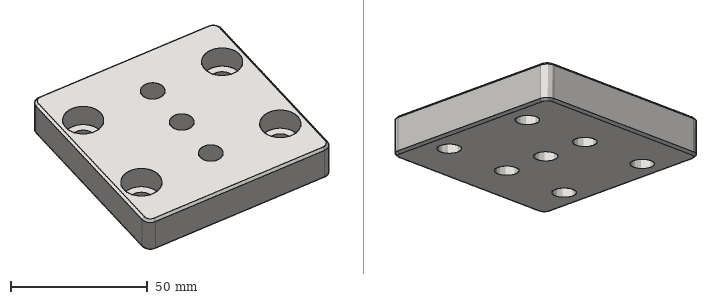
import cadquery as cq

side = 80.0
thickness = 15.0
corner_radius = 3.5
edge_chamfer = 1.0

hole_diameter = 9.0
counterbore_diameter = 15.0
counterbore_depth = 9.0
column_offset = side / 4
bolt_row_offset = 30.0

bolt_centers = [
    (x, y)
    for x in (-column_offset, column_offset)
    for y in (-bolt_row_offset, bolt_row_offset)
]
middle_centers = [(x, 0) for x in (-column_offset, 0, column_offset)]


def make_plate():
    """Square plate with rounded corners and chamfered top and bottom rims."""
    plate = cq.Workplane("XY").box(side, side, thickness, centered=(True, True, False))
    plate = plate.edges("|Z").fillet(corner_radius)
    return plate.faces("<Z or >Z").edges().chamfer(edge_chamfer)


def add_counterbored_holes(plate):
    """Four bolt holes, counterbored from the top face."""
    top = plate.faces(">Z").workplane(origin=(0, 0, thickness))
    return top.pushPoints(bolt_centers).cboreHole(
        hole_diameter, counterbore_diameter, counterbore_depth
    )


def add_middle_holes(plate):
    """Row of plain through holes along the X centerline."""
    top = plate.faces(">Z").workplane(origin=(0, 0, thickness))
    return top.pushPoints(middle_centers).hole(hole_diameter)


result = add_middle_holes(add_counterbored_holes(make_plate()))